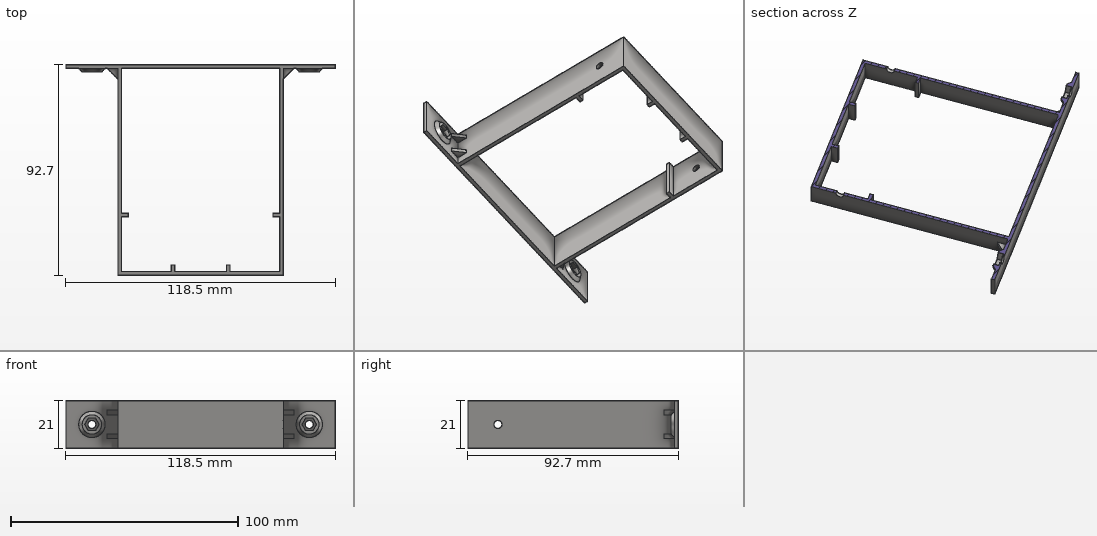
import cadquery as cq

length = 118.5
depth = 92.7
height = 21.0

wall = 1.7
frame_width = 72.8
front_y = -depth / 2
back_y = depth / 2
plate_face_y = back_y - wall
inner_half_width = frame_width / 2 - wall

rib_thickness = 1.7
rib_reach = 3.0
side_rib_offset = 26.5
front_rib_spacing = frame_width / 3

hole_diameter = 3.4
side_hole_y = front_y + side_rib_offset / 2
boss_x = (length + frame_width) / 4
boss_height = 1.7
boss_base_diameter = 11.6
boss_top_diameter = 8.5
hex_across_corners = 6.4
hex_depth = 2.4

gusset_leg = 4.7
gusset_thickness = 2.0
gusset_z = height / 4


def make_frame():
    """Rectangular ring closed at the back by the wider mounting plate."""
    ring = cq.Workplane("XY").box(frame_width, depth, height)
    opening = cq.Workplane("XY").box(2 * inner_half_width, depth - 2 * wall, height)
    plate = cq.Workplane("XY").box(length, wall, height).translate((0, back_y - wall / 2, 0))
    return ring.cut(opening).union(plate)


def make_ribs(side):
    """One side-wall rib and one front-wall rib, both full height and rooted in their wall."""
    rooted_length = wall + rib_reach
    side_rib = cq.Workplane("XY").box(rooted_length, rib_thickness, height)
    side_x = side * (frame_width - rooted_length) / 2
    front_rib = cq.Workplane("XY").box(rib_thickness, rooted_length, height)
    front_x = side * front_rib_spacing / 2
    return side_rib.translate((side_x, front_y + side_rib_offset, 0)).union(
        front_rib.translate((front_x, front_y + rooted_length / 2, 0))
    )


def make_gusset(side, z):
    """Triangular web in the corner between the plate and a side wall."""
    corner_x = side * frame_width / 2
    return (
        cq.Workplane("XY", origin=(0, 0, z - gusset_thickness / 2))
        .moveTo(corner_x, plate_face_y)
        .lineTo(corner_x + side * gusset_leg, plate_face_y)
        .lineTo(corner_x, plate_face_y - gusset_leg)
        .close()
        .extrude(gusset_thickness)
    )


def make_boss(x):
    """Conical boss narrowing away from the plate."""
    return (
        cq.Workplane("XZ", origin=(x, plate_face_y, 0))
        .circle(boss_base_diameter / 2)
        .workplane(offset=boss_height)
        .circle(boss_top_diameter / 2)
        .loft()
    )


def make_screw_cut(x):
    """Hexagonal recess through the boss into the plate, and a round hole through the plate."""
    boss_face = cq.Workplane("XZ", origin=(x, plate_face_y - boss_height, 0))
    recess = boss_face.polygon(6, hex_across_corners).extrude(-hex_depth)
    hole = boss_face.circle(hole_diameter / 2).extrude(-(boss_height + wall))
    return recess.union(hole)


result = make_frame()
for side in (-1, 1):
    result = result.union(make_ribs(side))
    for z in (-gusset_z, gusset_z):
        result = result.union(make_gusset(side, z))
    result = result.union(make_boss(side * boss_x)).cut(make_screw_cut(side * boss_x))

cross_hole = (
    cq.Workplane("YZ")
    .center(side_hole_y, 0)
    .circle(hole_diameter / 2)
    .extrude(frame_width / 2, both=True)
)
result = result.cut(cross_hole)